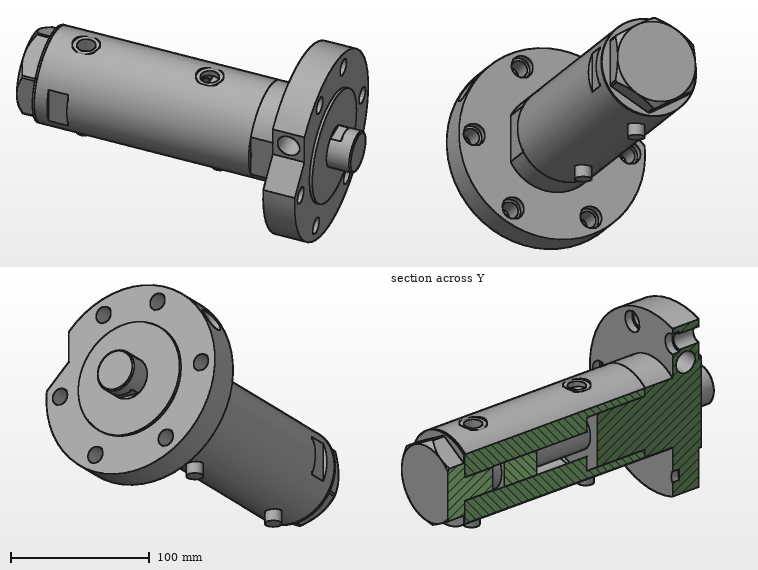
import cadquery as cq
import math


LENGTH = 252.5
HEX_END = 14.6
BARREL_START = 16.2
BARREL_END = 182.0
FLANGE_START = 207.3
FLANGE_END = 231.8
PILOT_END = 234.0

BARREL_DIAMETER = 73.0
BORE_DIAMETER = 50.0
SOCKET_DIAMETER = 62.9
ROD_DIAMETER = 31.3

HEX_ACROSS_FLATS = 60.0
HEX_CORNER_DIAMETER = 68.5

PORT_X = (42.0, 137.5)
PORT_DIAMETER = 13.6
SPOTFACE_DIAMETER = 20.2
SPOTFACE_DEPTH = 1.3
PIN_X = (40.5, 145.7)
PIN_DIAMETER = 12.4
PIN_TIP_Z = -45.2
SOCKET_START = 128.8
BARREL_FLAT_START = 26.0
BARREL_FLAT_END = 41.5
BARREL_ACROSS_FLATS = 67.0

NECK_ACROSS_FLATS = 64.1
FLANGE_DIAMETER = 144.0
PILOT_DIAMETER = 86.4
BOLT_CIRCLE_RADIUS = 60.0
BOLT_ANGLES = (0, 67.5, 112.5, 180, 240, 300)
BOLT_HOLE_DIAMETER = 12.5
COUNTERBORE_DIAMETER = 16.5
COUNTERBORE_DEPTH = 6.3
NOTCH_Y = -52.8
NOTCH_CORNER_Z = 25.5
CROSS_HOLE_DIAMETER = 17.2
CROSS_HOLE_Z = 37.0

NOSE_DIAMETER = 40.5
NOSE_LENGTH = 10.0
PISTON_LENGTH = 30.3
ROD_FLAT_END = 242.1
ROD_ACROSS_FLATS = 26.8
ROD_CHAMFER = 1.0


def cylinder_x(diameter, start, end):
    """Solid cylinder on the part axis."""
    return cq.Workplane("YZ", origin=(start, 0, 0)).circle(diameter / 2).extrude(end - start)


def vertical_cylinder(diameter, x, bottom, top):
    """Solid cylinder along Z, centred on the axis at the given X."""
    return cq.Workplane("XY", origin=(x, 0, bottom)).circle(diameter / 2).extrude(top - bottom)


def slab(across_y, across_z, start, end):
    """Block centred on the axis, with the given widths across Y and Z."""
    middle = (start + end) / 2
    return cq.Workplane("XY", origin=(middle, 0, 0)).box(end - start, across_y, across_z)


def make_cap():
    """Hexagon plug with turned corners, a collar and a spigot that ends under the first port."""
    hexagon = cq.Workplane("YZ").polygon(6, HEX_ACROSS_FLATS, circumscribed=True).extrude(HEX_END)
    chamfer = (HEX_CORNER_DIAMETER - HEX_ACROSS_FLATS) / 2
    turned_blank = cylinder_x(HEX_CORNER_DIAMETER, 0, HEX_END).faces("<X").chamfer(chamfer)
    collar = cylinder_x(BARREL_DIAMETER, HEX_END, BARREL_START)
    spigot = cylinder_x(BORE_DIAMETER, BARREL_START, PORT_X[0])
    return hexagon.intersect(turned_blank).union(collar).union(spigot)


def make_barrel():
    """Tube with a wider socket for the head, two ports on top, a flat on each side and two pins below."""
    barrel = cylinder_x(BARREL_DIAMETER, BARREL_START, BARREL_END)
    flat_zone = cylinder_x(BARREL_DIAMETER, BARREL_FLAT_START, BARREL_FLAT_END)
    flat_core = slab(BARREL_ACROSS_FLATS, BARREL_DIAMETER, BARREL_FLAT_START, BARREL_FLAT_END)
    barrel = barrel.cut(flat_zone.cut(flat_core))
    for x in PIN_X:
        barrel = barrel.union(vertical_cylinder(PIN_DIAMETER, x, PIN_TIP_Z, 0))
    barrel = barrel.cut(cylinder_x(BORE_DIAMETER, BARREL_START, SOCKET_START))
    barrel = barrel.cut(cylinder_x(SOCKET_DIAMETER, SOCKET_START, BARREL_END))
    top = BARREL_DIAMETER / 2
    for x in PORT_X:
        barrel = barrel.cut(vertical_cylinder(SPOTFACE_DIAMETER, x, top - SPOTFACE_DEPTH, top))
        barrel = barrel.cut(vertical_cylinder(PORT_DIAMETER, x, 0, top))
    return barrel


def make_flange():
    """Round flange with a corner notch, counterbored bolt holes and a cross hole along Y."""
    radius = FLANGE_DIAMETER / 2
    thickness = FLANGE_END - FLANGE_START
    flange = cylinder_x(FLANGE_DIAMETER, FLANGE_START, FLANGE_END)

    notch = (
        cq.Workplane("YZ", origin=(FLANGE_START, 0, 0))
        .moveTo(NOTCH_Y, NOTCH_CORNER_Z)
        .lineTo(NOTCH_Y, radius)
        .lineTo(-radius, radius)
        .lineTo(-radius, NOTCH_CORNER_Z - (radius + NOTCH_Y))
        .close()
        .extrude(thickness)
    )
    flange = flange.cut(notch)

    bolt_points = [
        (
            BOLT_CIRCLE_RADIUS * math.cos(math.radians(angle)),
            BOLT_CIRCLE_RADIUS * math.sin(math.radians(angle)),
        )
        for angle in BOLT_ANGLES
    ]
    near_face = cq.Workplane("YZ", origin=(FLANGE_START, 0, 0)).pushPoints(bolt_points)
    flange = flange.cut(near_face.circle(BOLT_HOLE_DIAMETER / 2).extrude(thickness))
    flange = flange.cut(near_face.circle(COUNTERBORE_DIAMETER / 2).extrude(COUNTERBORE_DEPTH))

    cross_hole = (
        cq.Workplane("XZ", origin=((FLANGE_START + FLANGE_END) / 2, 0, CROSS_HOLE_Z))
        .circle(CROSS_HOLE_DIAMETER / 2)
        .extrude(radius, both=True)
    )
    return flange.cut(cross_hole)


def make_head():
    """Spigot in the barrel socket, neck with two flats, flange and pilot disc, bored for the rod."""
    spigot = cylinder_x(SOCKET_DIAMETER, PORT_X[1], BARREL_END)
    neck = cylinder_x(BARREL_DIAMETER, BARREL_END, FLANGE_START)
    neck = neck.intersect(slab(NECK_ACROSS_FLATS, BARREL_DIAMETER, BARREL_END, FLANGE_START))
    pilot = cylinder_x(PILOT_DIAMETER, FLANGE_END, PILOT_END)
    head = make_flange().union(neck).union(spigot).union(pilot)
    return head.cut(cylinder_x(ROD_DIAMETER, PORT_X[1], PILOT_END))


def make_piston():
    """Piston that fills the bore, with a narrower nose against the cap spigot."""
    nose_end = PORT_X[0] + NOSE_LENGTH
    nose = cylinder_x(NOSE_DIAMETER, PORT_X[0], nose_end)
    return nose.union(cylinder_x(BORE_DIAMETER, nose_end, nose_end + PISTON_LENGTH))


def make_rod():
    """Rod from the piston out through the head, with two flats next to the pilot."""
    rod_start = PORT_X[0] + NOSE_LENGTH + PISTON_LENGTH
    rod = cylinder_x(ROD_DIAMETER, rod_start, LENGTH).faces(">X").chamfer(ROD_CHAMFER)
    flat_zone = cylinder_x(ROD_DIAMETER, PILOT_END, ROD_FLAT_END)
    flat_core = slab(ROD_DIAMETER, ROD_ACROSS_FLATS, PILOT_END, ROD_FLAT_END)
    return rod.cut(flat_zone.cut(flat_core))


cap = make_cap()
barrel = make_barrel()
head = make_head()
piston = make_piston()
rod = make_rod()

result = cq.Compound.makeCompound([cap.val(), barrel.val(), head.val(), piston.val(), rod.val()])